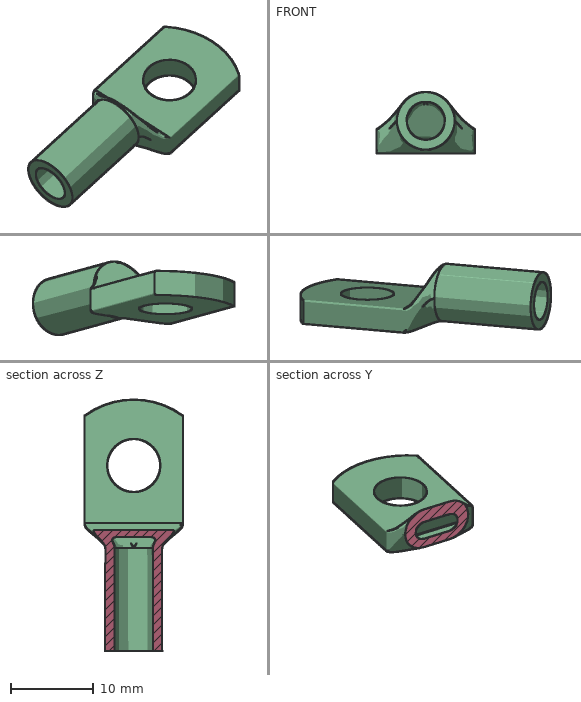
import cadquery as cq
import math

total_length = 30.5
barrel_length = 12.5
neck_length = 3.0
palm_start = barrel_length + neck_length

barrel_diameter = 7.0
bore_diameter = 4.6
barrel_bottom = 0.5
barrel_axis_z = barrel_bottom + barrel_diameter / 2

palm_width = 12.0
palm_thickness = 3.0
palm_edge_radius = 0.2
tip_rise = 2.0
stud_hole_diameter = 6.4
stud_hole_y = 22.5

neck_section_count = 7
roundness_power = 4
circle_flat = 0.02

slit_width = 7.0
slit_height = 0.1
slit_corner_radius = 0.04
slit_end_gap = 0.5
slit_depth = neck_length - slit_end_gap


def rounded_section(y, width, height, corner_radius, center_z):
    """Rounded rectangle in the XZ plane at the given Y."""
    half_w = width / 2
    half_h = height / 2
    flat_x = half_w - corner_radius
    flat_z = half_h - corner_radius
    diagonal = corner_radius * math.cos(math.radians(45))

    def at(x, z):
        return cq.Vector(x, y, center_z + z)

    edges = []
    corners = [(1, 1), (-1, 1), (-1, -1), (1, -1)]
    for side_x, side_z in corners:
        on_side = at(side_x * half_w, side_z * flat_z)
        middle = at(side_x * (flat_x + diagonal), side_z * (flat_z + diagonal))
        on_cap = at(side_x * flat_x, side_z * half_h)
        if side_x * side_z > 0:
            start, end = on_side, on_cap
        else:
            start, end = on_cap, on_side
        if edges:
            edges.append(cq.Edge.makeLine(edges[-1].endPoint(), start))
        edges.append(cq.Edge.makeThreePointArc(start, middle, end))
    edges.append(cq.Edge.makeLine(edges[-1].endPoint(), edges[0].startPoint()))
    return cq.Wire.assembleEdges(edges)


def mix(start, end, fraction):
    """Value part of the way from start to end."""
    return start + (end - start) * fraction


def flattening_loft(diameter, width, height, corner_radius, length):
    """Smooth transition from the round barrel to a flat section centred in the palm."""
    round_ratio = 1 - circle_flat / diameter
    flat_ratio = 2 * corner_radius / height
    sections = []
    for index in range(neck_section_count):
        travel = index / (neck_section_count - 1)
        blend = travel * travel * (3 - 2 * travel)
        section_height = mix(diameter, height, blend)
        roundness = mix(round_ratio, flat_ratio, blend**roundness_power)
        sections.append(
            rounded_section(
                barrel_length + travel * length,
                mix(diameter, width, blend),
                section_height,
                roundness * section_height / 2,
                mix(barrel_axis_z, palm_thickness / 2, blend),
            )
        )
    return cq.Workplane(obj=cq.Solid.makeLoft(sections))


def barrel_cylinder(diameter):
    """Cylinder along +Y on the barrel axis."""
    return (
        cq.Workplane("XZ")
        .center(0, barrel_axis_z)
        .circle(diameter / 2)
        .extrude(-barrel_length)
    )


def make_palm():
    """Flat tongue with an arched tip and softened long edges."""
    half_width = palm_width / 2
    shoulder_y = total_length - tip_rise
    palm = (
        cq.Workplane("XY")
        .moveTo(-half_width, palm_start)
        .lineTo(half_width, palm_start)
        .lineTo(half_width, shoulder_y)
        .threePointArc((0, total_length), (-half_width, shoulder_y))
        .close()
        .extrude(palm_thickness)
    )
    palm = palm.faces("<X or >X").edges("|Y").fillet(palm_edge_radius)
    stud_hole = (
        cq.Workplane("XY")
        .center(0, stud_hole_y)
        .circle(stud_hole_diameter / 2)
        .extrude(palm_thickness)
    )
    return palm.cut(stud_hole)


neck = flattening_loft(
    barrel_diameter, palm_width, palm_thickness, palm_edge_radius, neck_length
)
bore_end = flattening_loft(
    bore_diameter, slit_width, slit_height, slit_corner_radius, slit_depth
)

result = barrel_cylinder(barrel_diameter).union(neck).union(make_palm())
result = result.cut(barrel_cylinder(bore_diameter)).cut(bore_end)